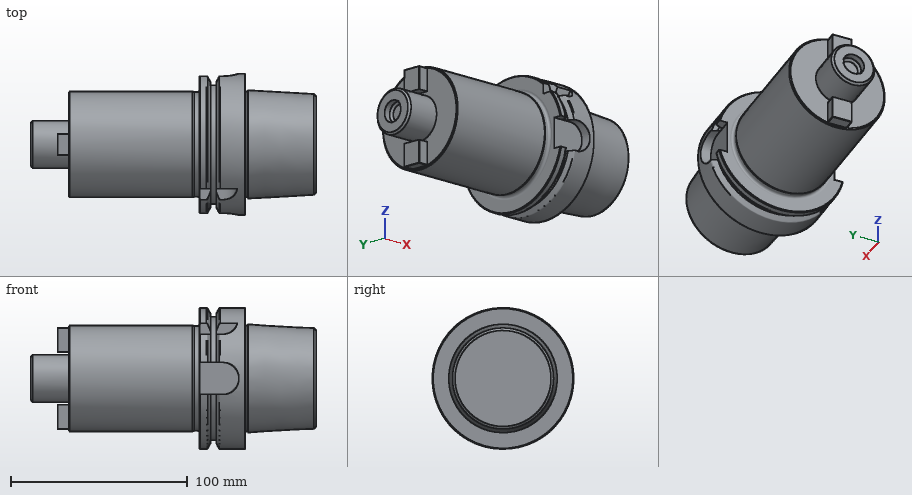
import cadquery as cq
import math

total_length = 161.5
seat_x = 21.6
relief_x = 91.4
flange_x = 95.5
flange_end_x = 121.5
taper_x = 123.0

pilot_radius = 27.0 / 2
pilot_chamfer = 1.3
hole_radius = 13.0 / 2
hole_floor_radius = 10.0 / 2
hole_wall_depth = 4.0
hole_depth = hole_wall_depth + hole_radius - hole_floor_radius

body_radius = 60.0 / 2
body_chamfer_length = 0.5
body_chamfer_height = 0.8
relief_radius = 59.5 / 2
relief_ramp_length = 1.0
relief_corner_radius = 1.3
relief_face_depth = 0.2
relief_face_radius = 32.0

flange_radius = 80.0 / 2
flange_chamfer = 0.5
groove_start_x = 99.3
groove_end_x = 107.2
groove_floor_start_x = 101.7
groove_floor_end_x = 104.8
groove_floor_radius = 35.0
groove_edge_radius = 0.8
groove_wall_angle = math.radians(30)

edge_run = groove_edge_radius * math.cos(groove_wall_angle)
wall_top_radius = flange_radius - groove_edge_radius * (1 - math.sin(groove_wall_angle))
wall_start_x = groove_start_x + edge_run
wall_end_x = groove_end_x - edge_run


def shoulder_radius(wall_width):
    """Radius at the foot of a sloping groove wall of the given axial width."""
    return wall_top_radius - wall_width / math.tan(groove_wall_angle)


shank_neck_radius = 60.0 / 2
taper_start_radius = 30.7
taper_end_radius = 28.6
taper_lead_in = 0.5
taper_chamfer = 1.5

key_width = 12.1
key_height = 6.5
key_inner_z = 14.9
key_outer_z = 28.6
key_chamfer = 0.25

slot_floor_y = 33.6
front_slot_width = 18.1
front_slot_end_x = 117.7
back_slot_width = 20.2
back_slot_end_x = 117.1
back_slot_corner_radius = 8.7
notch_floor = 25.0
notch_end_x = 117.1
notch_radius = 8.2


def revolved_blank():
    """Solid of revolution about X: pilot, body, flange and taper shank."""
    relief_end_x = flange_x + relief_face_depth
    corner_start_x = relief_end_x - relief_corner_radius
    corner_top_radius = relief_radius + relief_corner_radius
    start_shoulder = shoulder_radius(groove_floor_start_x - wall_start_x)
    end_shoulder = shoulder_radius(wall_end_x - groove_floor_end_x)
    profile = (
        cq.Workplane("XY")
        .moveTo(0, 0)
        .lineTo(0, pilot_radius - pilot_chamfer)
        .lineTo(pilot_chamfer, pilot_radius)
        .lineTo(seat_x, pilot_radius)
        .lineTo(seat_x, body_radius - body_chamfer_height)
        .lineTo(seat_x + body_chamfer_length, body_radius)
        .lineTo(relief_x, body_radius)
        .lineTo(relief_x + relief_ramp_length, relief_radius)
        .lineTo(corner_start_x, relief_radius)
        .radiusArc((relief_end_x, corner_top_radius), -relief_corner_radius)
        .lineTo(flange_x, relief_face_radius)
        .lineTo(flange_x, flange_radius - flange_chamfer)
        .lineTo(flange_x + flange_chamfer, flange_radius)
        .lineTo(groove_start_x, flange_radius)
        .radiusArc((wall_start_x, wall_top_radius), groove_edge_radius)
        .lineTo(groove_floor_start_x, start_shoulder)
        .lineTo(groove_floor_start_x, groove_floor_radius)
        .lineTo(groove_floor_end_x, groove_floor_radius)
        .lineTo(groove_floor_end_x, end_shoulder)
        .lineTo(wall_end_x, wall_top_radius)
        .radiusArc((groove_end_x, flange_radius), groove_edge_radius)
        .lineTo(flange_end_x - flange_chamfer, flange_radius)
        .lineTo(flange_end_x, flange_radius - flange_chamfer)
        .lineTo(flange_end_x, shank_neck_radius)
        .lineTo(taper_x - taper_lead_in, shank_neck_radius)
        .lineTo(taper_x, taper_start_radius)
        .lineTo(total_length - taper_chamfer, taper_end_radius)
        .lineTo(total_length, taper_end_radius - taper_chamfer)
        .lineTo(total_length, 0)
        .close()
    )
    return profile.revolve(360, (0, 0, 0), (1, 0, 0))


def pilot_hole():
    """Blind hole in the pilot tip, chamfered in at 45 degrees around its flat floor."""
    profile = (
        cq.Workplane("XY")
        .moveTo(0, 0)
        .lineTo(0, hole_radius)
        .lineTo(hole_wall_depth, hole_radius)
        .lineTo(hole_depth, hole_floor_radius)
        .lineTo(hole_depth, 0)
        .close()
    )
    return profile.revolve(360, (0, 0, 0), (1, 0, 0))


def drive_key(side):
    """Key standing on the seat, above (side = 1) or below (side = -1) the pilot."""
    middle_z = side * (key_inner_z + key_outer_z) / 2
    outer_face = ">Z" if side > 0 else "<Z"
    return (
        cq.Workplane("YZ", origin=(seat_x, 0, middle_z))
        .rect(key_width, key_outer_z - key_inner_z)
        .extrude(-key_height)
        .edges(f"(|Z and (not >X)) or ({outer_face} and (not >X))")
        .chamfer(key_chamfer)
    )


def front_slot():
    """Slot on the -Y side, open toward the body and closed by a half round end."""
    end_radius = front_slot_width / 2
    end_centre_x = front_slot_end_x - end_radius
    profile = (
        cq.Workplane("XZ", origin=(0, -slot_floor_y, 0))
        .moveTo(flange_x, -end_radius)
        .lineTo(end_centre_x, -end_radius)
        .threePointArc((front_slot_end_x, 0), (end_centre_x, end_radius))
        .lineTo(flange_x, end_radius)
        .close()
    )
    return profile.extrude(flange_radius - slot_floor_y)


def back_slot():
    """Wider slot on the +Y side, open toward the body, with rounded end corners."""
    return (
        cq.Workplane("XY", origin=(flange_x, slot_floor_y, 0))
        .box(
            back_slot_end_x - flange_x,
            flange_radius - slot_floor_y,
            back_slot_width,
            centered=(False, False, True),
        )
        .edges("|Y and >X")
        .fillet(back_slot_corner_radius)
    )


def orientation_notch():
    """Corner notch at -Y, +Z whose floor curves up at its closed end."""
    arc_start_x = notch_end_x - notch_radius
    top_z = notch_floor + notch_radius
    profile = (
        cq.Workplane("XZ", origin=(0, -notch_floor, 0))
        .moveTo(flange_x, notch_floor)
        .lineTo(arc_start_x, notch_floor)
        .radiusArc((notch_end_x, top_z), -notch_radius)
        .lineTo(notch_end_x, flange_radius)
        .lineTo(flange_x, flange_radius)
        .close()
    )
    return profile.extrude(flange_radius - notch_floor)


result = revolved_blank().cut(pilot_hole())
for key_side in (1, -1):
    result = result.union(drive_key(key_side))
result = result.cut(front_slot())
result = result.cut(back_slot())
result = result.cut(orientation_notch())